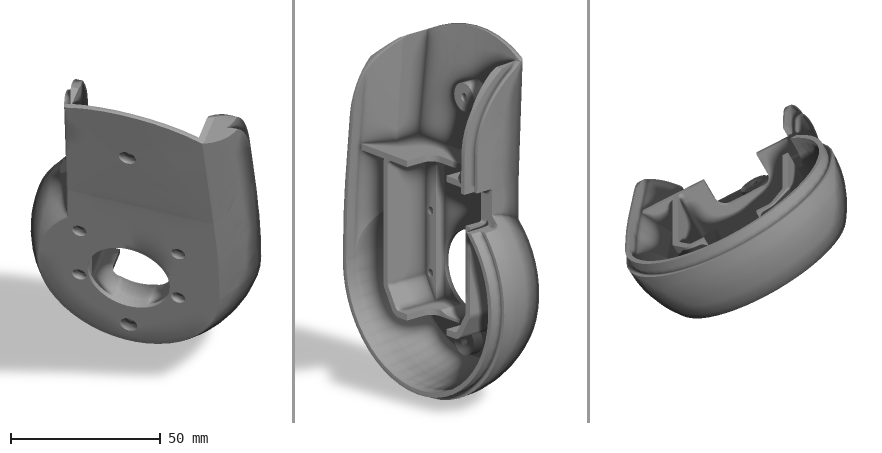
import cadquery as cq
import math


rim_radius = 39.5
face_radius = 32.3
shell_depth = 22.2
shell_wall = 1.7
lip_wall = 1.7
lip_height = 4.2
plate_thickness = 1.6
face_chamfer = 0.5

loft_height = 37.4
loft_top = 92.0
right_flank_radius = 333.0
right_face_taper = 0.089
right_rim_taper = 0.10
left_face_x = -21.8
left_rim_x = -25.7
left_taper = 0.012
front_edge_taper = 0.032
front_middle_taper = 0.0643
cavity_side_wall = 2.0
cavity_straight_y = -11.0

plate_top = 85.24
plate_left_corner = (-22.4, 80.1)
plate_right_corner = (26.5, 78.0)
left_shoulder_slope = 0.5
right_shoulder_slope = 1.1
neck_point = (-21.8, 79.7)
neck_top_y = -23.8
shell_trim = ((0, 51.1), (-5.8, 68.8), (-17.8, 77.8))
liner_trim = ((lip_height, 51.9), (-1.5, 69.7), (-13.3, 79.3))

motor_hole_diameter = 28.8
motor_screw_center_z = 6.85
motor_screw_dx = 17.3
motor_screw_dz = 11.05
motor_screw_diameter = 2.7
motor_screw_head = 5.0
cover_screw_z = (62.5, -23.7)
cover_screw_diameter = 3.0
cover_screw_head = 6.0
boss_diameter = 10.0
boss_end_y = -16.6
head_seat_depth = 3.0

box_half_width = 19.8
box_bottom = -13.1
box_top = 39.0
box_slope_run = 4.55
box_slope_angle = 60.0
box_corner_radius = 1.8
box_wall = 2.2
rail_inner_x = 14.5
rail_depth = 5.35
cable_notch_width = 20.0
cable_notch_depth = 11.4
cable_notch_radius = 4.0

side_notch_bottom = 26.0
side_notch_top = 39.0
side_notch_depth = 6.9
side_notch_radius = 0.9
side_notch_end_x = -18.0

reach = 60.0
overlap = 1.0


def flank_middle(rim_x, face_x, face_y):
    """Middle point of a flank arc that leaves the rim parallel to Y."""
    rise = abs(face_x - rim_x)
    radius = (rise**2 + face_y**2) / (2 * rise)
    middle_offset = radius - math.sqrt(radius**2 - face_y**2 / 4)
    return (rim_x + math.copysign(middle_offset, face_x - rim_x), face_y / 2)


def flank_x(z):
    """Left face, left rim, right face and right rim X of the tongue at a height."""
    curved = min(z, loft_height)
    above = z - curved
    drop = curved**2 / (2 * right_flank_radius)
    return (
        left_face_x - left_taper * above,
        left_rim_x - left_taper * above,
        face_radius - drop - right_face_taper * above,
        rim_radius - drop - right_rim_taper * above,
    )


def front_y(z):
    """Y of the plate's side edges and of its middle at a height."""
    above = max(z - loft_height, 0)
    return -shell_depth - front_edge_taper * above, -shell_depth - front_middle_taper * above


def front_edge(section, left_x, right_x, edge_y, middle_y):
    """Front side of a section: straight, or bowed outward where its middle leans further."""
    if middle_y < edge_y:
        return section.threePointArc(((left_x + right_x) / 2, middle_y), (right_x, edge_y))
    return section.lineTo(right_x, edge_y)


def tongue_section(z, inset, back_y):
    """Cross-section of the tongue, moved inward by an inset."""
    left_face, left_rim, right_face, right_rim = flank_x(z)
    edge_y, middle_y = front_y(z)
    left_face, left_rim = left_face + inset, left_rim + inset
    right_face, right_rim = right_face - inset, right_rim - inset
    edge_y, middle_y = edge_y + inset, middle_y + inset
    corner_y = edge_y + face_chamfer
    section = (
        cq.Workplane("XY", origin=(0, 0, z))
        .moveTo(left_rim, back_y)
        .lineTo(left_rim, 0)
        .threePointArc(flank_middle(left_rim, left_face, corner_y), (left_face, corner_y))
        .lineTo(left_face + face_chamfer, edge_y)
    )
    section = front_edge(section, left_face + face_chamfer, right_face - face_chamfer, edge_y, middle_y)
    return (
        section.lineTo(right_face, corner_y)
        .threePointArc(flank_middle(right_rim, right_face, corner_y), (right_rim, 0))
        .lineTo(right_rim, back_y)
        .close()
        .val()
    )


def cavity_section(z):
    """Cross-section of the hollow inside the tongue."""
    left_face, left_rim, right_face, right_rim = flank_x(z)
    edge_y, middle_y = front_y(z)
    left_in, right_in = left_face + cavity_side_wall, right_face - cavity_side_wall
    rim_wall = shell_wall + lip_wall
    edge_y, middle_y = edge_y + plate_thickness, middle_y + plate_thickness
    back_y = lip_height + overlap
    section = (
        cq.Workplane("XY", origin=(0, 0, z))
        .moveTo(left_rim + rim_wall, back_y)
        .lineTo(left_rim + rim_wall, 0)
        .lineTo(left_in, cavity_straight_y)
        .lineTo(left_in, edge_y)
    )
    return (
        front_edge(section, left_in, right_in, edge_y, middle_y)
        .lineTo(right_in, cavity_straight_y)
        .lineTo(right_rim - rim_wall, 0)
        .lineTo(right_rim - rim_wall, back_y)
        .close()
        .val()
    )


def loft_tongue(section):
    """Solid through the sections: smooth below the loft height, straight above it."""
    heights = (0, loft_height / 2, loft_height)
    lower = cq.Solid.makeLoft([section(z) for z in heights])
    upper = cq.Solid.makeLoft([section(z) for z in (loft_height, loft_top)], True)
    return cq.Workplane(lower).union(cq.Workplane(upper))


def bowl(rim, face, depth, back_y):
    """Round bowl about the motor axis, with an arc as its profile."""
    return (
        cq.Workplane("XY")
        .moveTo(0, back_y)
        .lineTo(rim, back_y)
        .lineTo(rim, 0)
        .threePointArc(flank_middle(rim, face, face_chamfer - depth), (face, face_chamfer - depth))
        .lineTo(face - face_chamfer, -depth)
        .lineTo(0, -depth)
        .close()
        .revolve(360, (0, 0, 0), (0, 1, 0))
    )


def trim_body(start, middle, end):
    """Space kept under the curved upper end, a YZ outline extended along X."""
    back_y = start[0] + overlap
    return (
        cq.Workplane("YZ", origin=(-reach, 0, 0))
        .moveTo(back_y, -reach)
        .lineTo(back_y, start[1])
        .lineTo(*start)
        .threePointArc(middle, end)
        .lineTo(*neck_point)
        .lineTo(neck_top_y, loft_top)
        .lineTo(-reach, loft_top)
        .lineTo(-reach, -reach)
        .close()
        .extrude(2 * reach)
    )


def plate_outline():
    """Space kept under the arched top edge of the front plate."""
    left_x, left_z = plate_left_corner
    right_x, right_z = plate_right_corner
    outer_x = rim_radius + overlap
    return (
        cq.Workplane("XZ", origin=(0, reach, 0))
        .moveTo(left_x, left_z)
        .threePointArc((0, plate_top), (right_x, right_z))
        .lineTo(outer_x, right_z - right_shoulder_slope * (outer_x - right_x))
        .lineTo(outer_x, -reach)
        .lineTo(-outer_x, -reach)
        .lineTo(-outer_x, left_z - left_shoulder_slope * (outer_x + left_x))
        .close()
        .extrude(2 * reach)
    )


def outer_shell():
    shell = bowl(rim_radius, face_radius, shell_depth, overlap)
    shell = shell.union(loft_tongue(lambda z: tongue_section(z, 0, overlap)))
    behind_rim = cq.Workplane("XY").box(2 * reach, reach, 4 * reach).translate((0, reach / 2, 0))
    return shell.cut(behind_rim).intersect(trim_body(*shell_trim))


def bowl_liner():
    return bowl(rim_radius - shell_wall, face_radius - shell_wall, shell_depth - shell_wall, lip_height)


def tongue_liner():
    liner = loft_tongue(lambda z: tongue_section(z, shell_wall, lip_height))
    return liner.intersect(trim_body(*liner_trim))


def bowl_cavity():
    wall = shell_wall + lip_wall
    return bowl(rim_radius - wall, face_radius - cavity_side_wall,
                shell_depth - plate_thickness, lip_height + overlap)


def along_y(x, z, diameter, start_y, end_y):
    """Cylinder parallel to Y."""
    return cq.Workplane("XZ", origin=(x, start_y, z)).circle(diameter / 2).extrude(start_y - end_y)


def box_block(grow, start_y, back_y):
    """Motor box outline, grown outward, between two Y positions."""
    slope_rise = box_slope_run * math.tan(math.radians(box_slope_angle))
    floor_half_width = box_half_width - box_slope_run
    outline = (
        cq.Workplane("XZ", origin=(0, back_y, 0))
        .moveTo(-floor_half_width, box_bottom)
        .lineTo(floor_half_width, box_bottom)
        .lineTo(box_half_width, box_bottom + slope_rise)
        .lineTo(box_half_width, box_top)
        .lineTo(-box_half_width, box_top)
        .lineTo(-box_half_width, box_bottom + slope_rise)
        .close()
    )
    if grow > 0:
        outline = outline.offset2D(grow, "intersection")
    return outline.extrude(back_y - start_y).edges("|Y").fillet(box_corner_radius + grow)


def motor_box():
    """Open box around the motor, under a partition that spans the tongue."""
    pocket = box_block(0, -shell_depth, overlap)
    walls = box_block(box_wall, -shell_depth, 0)
    partition = (
        cq.Workplane("XY", origin=(0, -shell_depth / 2, box_top))
        .rect(2 * rim_radius, shell_depth)
        .extrude(box_wall)
    )
    walls = walls.cut(pocket).union(partition)

    rail_width = box_half_width - rail_inner_x
    for side in (-1, 1):
        rail_center = (
            side * (rail_inner_x + rail_width / 2),
            rail_depth / 2 - shell_depth,
            (box_bottom + box_top) / 2,
        )
        rail = cq.Workplane("XY").box(rail_width, rail_depth, box_top - box_bottom)
        walls = walls.union(rail.translate(rail_center).intersect(pocket))

    notch = (
        cq.Workplane("XY")
        .box(cable_notch_width, 2 * cable_notch_depth, 2 * reach)
        .edges("|Z and <Y")
        .fillet(cable_notch_radius)
    )
    return walls.cut(notch)


def side_notch():
    """Opening through the -X wall and its lip into the motor box."""
    length = rim_radius + side_notch_end_x + overlap
    depth = side_notch_depth + lip_height + overlap
    height = side_notch_top - side_notch_bottom
    return (
        cq.Workplane("XY")
        .box(length, depth, height)
        .edges("|X and <Y")
        .fillet(side_notch_radius)
        .translate((
            side_notch_end_x - length / 2,
            depth / 2 - side_notch_depth,
            side_notch_bottom + height / 2,
        ))
    )


def screw_hole(x, z, diameter, head_diameter):
    """Through hole with a seat for the screw head, measured from the plate's outside."""
    outside_y = front_y(z)[1]
    hole = along_y(x, z, diameter, boss_end_y + overlap, -reach)
    seat = along_y(x, z, head_diameter, outside_y + head_seat_depth, -reach)
    return hole.union(seat)


envelope = outer_shell().union(bowl_liner()).union(tongue_liner())
envelope = envelope.intersect(plate_outline())
result = envelope.cut(bowl_cavity()).cut(loft_tongue(cavity_section))

inside = motor_box()
for z in cover_screw_z:
    inside = inside.union(along_y(0, z, boss_diameter, boss_end_y, front_y(z)[1]))
result = result.union(inside.intersect(envelope))

result = result.cut(along_y(0, 0, motor_hole_diameter, 0, -reach))
for x_side in (-1, 1):
    for z_side in (-1, 1):
        z = motor_screw_center_z + z_side * motor_screw_dz
        result = result.cut(screw_hole(x_side * motor_screw_dx, z, motor_screw_diameter, motor_screw_head))
for z in cover_screw_z:
    result = result.cut(screw_hole(0, z, cover_screw_diameter, cover_screw_head))
result = result.cut(side_notch())